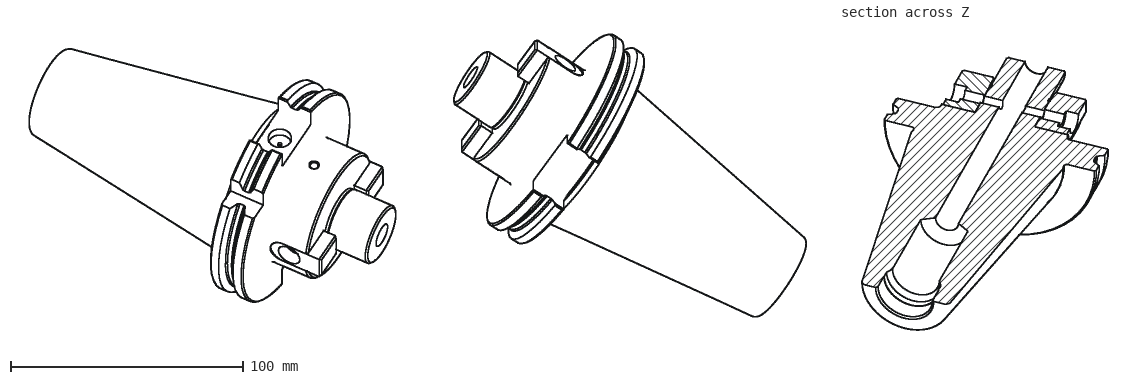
import cadquery as cq
import math


total_length = 162.8
gauge_x = 101.7
flange_start_x = 105.0
flange_end_x = 121.0
collar_end_x = 141.8

gauge_diameter = 69.8
gauge_radius = gauge_diameter / 2
taper_ratio = 7 / 24
small_end_radius = gauge_radius - gauge_x * taper_ratio / 2
small_end_round = 2.5
neck_radius = 34.7
neck_slope_length = 1.1
neck_round = 1.0

flange_diameter = 97.5
flange_radius = flange_diameter / 2
flange_chamfer = 0.7
groove_x = 112.8
groove_half_angle = math.radians(30)
groove_side_radius = 45.7
groove_side_width = 3.5
groove_floor_radius = 45.4
groove_floor_width = 2.0

collar_radius = 29.1
collar_chamfer = 0.8
collar_round = 2.0
spigot_radius = 13.5
spigot_chamfer = 0.8
relief_radius = 13.2
relief_width = 1.8
relief_slope_length = 0.5

bore_mouth_radius = 13.3
bore_mouth_length = 0.8
pilot_radius = 12.5
pilot_depth = 8.1
seat_radius = 12.4
seat_depth = 11.0
seat_cone_half_angle = math.radians(30)
thread_radius = 10.7
thread_depth = 48.8
drill_half_angle = math.radians(59)
through_radius = 5.2

notch_width = 25.7
notch_corner_round = 1.0
notch_rim_chamfer = 0.7
top_notch_z = 37.6
bottom_notch_z = -35.5
corner_notch_offset = 30.0

chip_diameter = 10.0
chip_depth = 4.2
chip_centre_diameter = 1.6
chip_centre_depth = 1.6

side_hole_x = 129.5
side_hole_diameter = 3.4
side_hole_mouth_diameter = 4.4
side_hole_depth = 9.8

key_width = 12.2
key_start_x = 123.9
key_end_x = 148.3
key_inner_y = 13.8
key_outer_y = 28.5
key_chamfer = 0.8
screw_x = 132.8
screw_clearance_diameter = 5.7
screw_head_diameter = 10.4
screw_head_depth = 5.7
screw_core_diameter = 4.4

cut_margin = 1.6
select_tolerance = 0.08


def revolve_about_x(profile):
    """Revolve a closed (x, radius) outline about the tool axis."""
    return profile.close().revolve(360, (0, 0, 0), (1, 0, 0))


def cone_between(x, start_radius, end_radius, half_angle):
    """X position at which a cone starting at x has narrowed to end_radius."""
    return x + (start_radius - end_radius) / math.tan(half_angle)


def ring_edges(body, x, radius):
    """Circular edges of the body at one axial position, out to the given radius."""
    reach = radius + select_tolerance
    return body.edges(
        cq.selectors.BoxSelector(
            (x - select_tolerance, -reach, -reach),
            (x + select_tolerance, reach, reach),
            boundingbox=True,
        )
    )


def turned_blank():
    """Taper, flange, collar and spigot as one turned shape."""
    floor_half = groove_floor_width / 2
    side_half = groove_side_width / 2
    rim_half = side_half + (flange_radius - groove_side_radius) * math.tan(groove_half_angle)
    relief_end_x = collar_end_x + relief_width

    profile = (
        cq.Workplane("XY")
        .moveTo(0, 0)
        .lineTo(0, small_end_radius)
        .lineTo(gauge_x, gauge_radius)
        .lineTo(gauge_x + neck_slope_length, neck_radius)
        .lineTo(flange_start_x, neck_radius)
        .lineTo(flange_start_x, flange_radius - flange_chamfer)
        .lineTo(flange_start_x + flange_chamfer, flange_radius)
        .lineTo(groove_x - rim_half, flange_radius)
        .lineTo(groove_x - side_half, groove_side_radius)
        .lineTo(groove_x - floor_half, groove_floor_radius)
        .lineTo(groove_x + floor_half, groove_floor_radius)
        .lineTo(groove_x + side_half, groove_side_radius)
        .lineTo(groove_x + rim_half, flange_radius)
        .lineTo(flange_end_x - flange_chamfer, flange_radius)
        .lineTo(flange_end_x, flange_radius - flange_chamfer)
        .lineTo(flange_end_x, collar_radius)
        .lineTo(collar_end_x - collar_chamfer, collar_radius)
        .lineTo(collar_end_x, collar_radius - collar_chamfer)
        .lineTo(collar_end_x, relief_radius)
        .lineTo(relief_end_x - relief_slope_length, relief_radius)
        .lineTo(relief_end_x, spigot_radius)
        .lineTo(total_length - spigot_chamfer, spigot_radius)
        .lineTo(total_length, spigot_radius - spigot_chamfer)
        .lineTo(total_length, 0)
    )
    blank = revolve_about_x(profile)

    blank = ring_edges(blank, 0, small_end_radius).fillet(small_end_round)
    blank = ring_edges(blank, flange_start_x, neck_radius).fillet(neck_round)
    blank = ring_edges(blank, flange_end_x, collar_radius).fillet(collar_round)
    return blank


def axial_bore():
    """Stepped bore: pilot, seat, thread core and a plain hole through the spigot."""
    thread_start_x = cone_between(seat_depth, seat_radius, thread_radius, seat_cone_half_angle)
    thread_tip_x = cone_between(thread_depth, thread_radius, through_radius, drill_half_angle)
    profile = (
        cq.Workplane("XY")
        .moveTo(0, 0)
        .lineTo(0, bore_mouth_radius)
        .lineTo(bore_mouth_length, pilot_radius)
        .lineTo(pilot_depth, pilot_radius)
        .lineTo(pilot_depth, seat_radius)
        .lineTo(seat_depth, seat_radius)
        .lineTo(thread_start_x, thread_radius)
        .lineTo(thread_depth, thread_radius)
        .lineTo(thread_tip_x, through_radius)
        .lineTo(total_length, through_radius)
        .lineTo(total_length, 0)
    )
    return revolve_about_x(profile)


def box_between(x_range, y_range, z_range):
    """Box given by its lower and upper limit on each axis."""
    size = [upper - lower for lower, upper in (x_range, y_range, z_range)]
    corner = (x_range[0], y_range[0], z_range[0])
    return cq.Workplane("XY").box(*size, centered=False).translate(corner)


def flange_notches():
    """Drive notches at top and bottom, and the square corner notch."""
    along_flange = (flange_start_x, flange_end_x)
    across_notch = (-notch_width / 2, notch_width / 2)
    beyond_rim = flange_radius + cut_margin

    top = box_between(along_flange, across_notch, (top_notch_z, beyond_rim))
    bottom = box_between(along_flange, across_notch, (-beyond_rim, bottom_notch_z))
    corner = box_between(
        along_flange,
        (-beyond_rim, -corner_notch_offset),
        (corner_notch_offset, beyond_rim),
    )

    top = top.edges("|X and <Z").fillet(notch_corner_round)
    bottom = bottom.edges("|X and >Z").fillet(notch_corner_round)
    return top.union(bottom).union(corner)


def notch_rim_edges(holder):
    """Edges where the side walls of the two drive notches meet the flange rim."""
    wall_y = notch_width / 2
    rim_z = math.sqrt(flange_radius ** 2 - wall_y ** 2)
    selected = holder.newObject([])
    for y in (-wall_y, wall_y):
        for z in (-rim_z, rim_z):
            box = cq.selectors.BoxSelector(
                (flange_start_x, y - select_tolerance, z - select_tolerance),
                (flange_end_x, y + select_tolerance, z + select_tolerance),
            )
            selected = selected.add(holder.edges(box))
    return selected


def chip_pocket():
    """Flat round pocket with a small centre hole, sunk into the top notch."""
    pocket_floor_z = top_notch_z - chip_depth
    pocket = (
        cq.Workplane("XY", origin=(groove_x, 0, pocket_floor_z))
        .circle(chip_diameter / 2)
        .extrude(chip_depth)
    )
    centre = (
        cq.Workplane("XY", origin=(groove_x, 0, pocket_floor_z))
        .circle(chip_centre_diameter / 2)
        .extrude(-chip_centre_depth)
    )
    return pocket.union(centre)


def collar_side_hole():
    """Blind drilled hole with a conical tip and a chamfered mouth, on the Z axis of the collar."""
    hole_radius = side_hole_diameter / 2
    mouth_radius = side_hole_mouth_diameter / 2
    mouth_depth = mouth_radius - hole_radius
    tip_depth = hole_radius / math.tan(drill_half_angle)
    floor_z = collar_radius - side_hole_depth
    return (
        cq.Workplane("XZ", origin=(side_hole_x, 0, 0))
        .moveTo(0, floor_z - tip_depth)
        .lineTo(hole_radius, floor_z)
        .lineTo(hole_radius, collar_radius - mouth_depth)
        .lineTo(mouth_radius, collar_radius)
        .lineTo(0, collar_radius)
        .close()
        .revolve(360, (0, 0, 0), (0, 1, 0))
    )


def key_block(outer_y):
    """Key on the +Y side: rounded at the flange end, square at the other, from key_inner_y out."""
    end_radius = key_width / 2
    round_centre_x = key_start_x + end_radius
    return (
        cq.Workplane("XY")
        .moveTo(round_centre_x, -end_radius)
        .lineTo(key_end_x, -end_radius)
        .lineTo(key_end_x, end_radius)
        .lineTo(round_centre_x, end_radius)
        .threePointArc((key_start_x, 0), (round_centre_x, -end_radius))
        .close()
        .extrude(outer_y - key_inner_y)
        .rotate((0, 0, 0), (1, 0, 0), -90)
        .translate((0, key_inner_y, 0))
    )


def screw_hole(diameter, start_y, end_y):
    """Cylinder along +Y on the screw axis."""
    return (
        cq.Workplane("XZ", origin=(screw_x, start_y, 0))
        .circle(diameter / 2)
        .extrude(start_y - end_y)
    )


def on_side(body, side):
    """The body as built for side +1 (+Y), or turned half round the tool axis for side -1."""
    return body if side > 0 else body.rotate((0, 0, 0), (1, 0, 0), 180)


def build_holder():
    """Holder: turned blank with its bore, notches, holes and key slots removed."""
    holder = turned_blank().cut(axial_bore()).cut(flange_notches())
    holder = notch_rim_edges(holder).chamfer(notch_rim_chamfer)
    holder = holder.cut(chip_pocket()).cut(collar_side_hole())
    key_slot = key_block(collar_radius + cut_margin)
    core_hole = screw_hole(screw_core_diameter, 0, key_inner_y)
    for side in (1, -1):
        holder = holder.cut(on_side(key_slot, side)).cut(on_side(core_hole, side))
    return holder


def build_key(side):
    """Drive key with a counterbored screw hole, chamfered round its free end."""
    key = key_block(key_outer_y).faces(">X").edges().chamfer(key_chamfer)
    key = key.cut(screw_hole(screw_clearance_diameter, key_inner_y, key_outer_y))
    key = key.cut(screw_hole(screw_head_diameter, key_outer_y - screw_head_depth, key_outer_y))
    return on_side(key, side)


holder = build_holder()
keys = [build_key(side) for side in (1, -1)]

result = cq.Compound.makeCompound([holder.val(), *[key.val() for key in keys]])